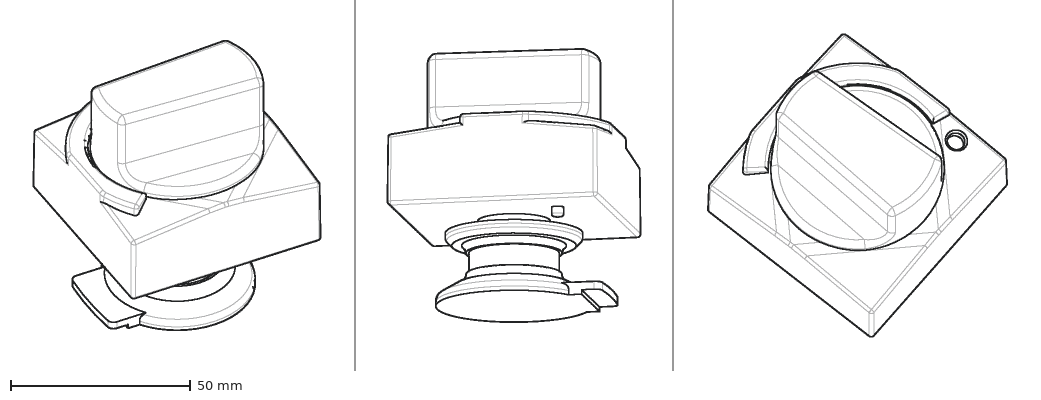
import cadquery as cq
import math

TOP_Z = 71.05
DISC_TOP_Z = 50.7
GUARD_TOP_Z = 49.4
HOUSING_TOP_Z = 47.6
HOUSING_BOTTOM_Z = 24.3
SPOOL_TOP_Z = 20.75
KNOB_RECESS_DEPTH = 0.7
KNOB_BASE_Z = HOUSING_TOP_Z - KNOB_RECESS_DEPTH

KNOB_RADIUS = 24.2
KNOB_ROUNDING = 2.0
GRIP_HALF_WIDTH = 10.2
GRIP_TAPER = 3.0
GRIP_COVE_RADIUS = 4.8
SHAFT_RADIUS = 10.15

BASE_RADIUS = 21.9
BASE_RIM_Z = 1.3
BASE_BULGE = (21.7, 2.4)
CONE_FOOT = (20.9, 3.2)
CONE_HEAD = (16.3, 6.0)
LOWER_COVE = (14.15, 7.25)
LOWER_LIP_RADIUS = 13.4
GROOVE_RADIUS = 12.65
GROOVE_BOTTOM_Z = 9.1
GROOVE_TOP_Z = 15.15
UPPER_LIP_RADIUS = 13.5
UPPER_COVE = (13.85, 16.35)
UPPER_COVE_END_RADIUS = 14.65
FLANGE_UNDERSIDE_Z = 17.3
FLANGE_UNDERSIDE_RADIUS = 17.4
FLANGE_BEVEL_END = (18.9, 18.75)
FLANGE_BULGE = (19.2, 19.2)
FLANGE_RADIUS = 19.25
FLANGE_RIM_Z = 19.75

TAB_HALF_WIDTH = 12.15
TAB_REACH = 27.9
TAB_SIDE_REACH = 27.2
TAB_TOP_Z = 3.55
TAB_UNDERSIDE_Z = 1.3
TAB_CORNER_RADIUS = 2.0

HOUSING_SIDE = 60.0
DRAFT = 0.6
EDGE_ROUNDING = 1.0
CORNER_SLOPE = 9.7
ROOF_BEND_START = 20.75
ROOF_BEND_RADIUS = 21.3
WINDOW_CENTER = (-24.4, 15.7)
WINDOW_RADIUS = 2.5
WINDOW_RIM_RADIUS = 3.1
WINDOW_DEPTH = 2.85
CUT_OVERSHOOT = 0.7
PIN_OFFSET = 15.85
PIN_RADIUS = 1.7
PIN_LENGTH = 2.55
PIN_ROUNDING = 0.7

GUARD_INNER_RADIUS = 24.95
GUARD_OUTER_RADIUS = 32.1
GUARD_OUTER_SHIFT = 0.7
GUARD_START = 162.0
GUARD_END = 312.0
GUARD_ROOT_DEPTH = 5.7
GUARD_BLEND_RADIUS = 5.0
GUARD_ROUNDING = 1.0

LEVEL_TOLERANCE = 0.1
SIDE_MARGIN = 0.7
UPRIGHT_LENGTH = 0.7


def is_upright(edge):
    return edge.BoundingBox().zlen > UPRIGHT_LENGTH


def disc(radius, bottom, top):
    return cq.Workplane("XY").workplane(offset=bottom).circle(radius).extrude(top - bottom)


def side_pocket(side):
    """Material removed beside the grip; side is -1 for -X and +1 for +X."""
    reach = 2 * KNOB_RADIUS
    cove_top = DISC_TOP_Z + GRIP_COVE_RADIUS
    cove_offset = GRIP_COVE_RADIUS * (1 - math.sqrt(0.5))
    wall = GRIP_HALF_WIDTH
    profile = (
        cq.Workplane("XZ")
        .moveTo(side * wall, TOP_Z + CUT_OVERSHOOT)
        .lineTo(side * wall, cove_top)
        .threePointArc(
            (side * (wall + cove_offset), DISC_TOP_Z + cove_offset),
            (side * (wall + GRIP_COVE_RADIUS), DISC_TOP_Z),
        )
        .lineTo(side * reach, DISC_TOP_Z)
        .lineTo(side * reach, TOP_Z + CUT_OVERSHOOT)
        .close()
    )
    pocket = profile.extrude(reach, both=True)
    pivot = (side * wall, 0, 0)
    return pocket.rotate(pivot, (side * wall, 0, 1), -side * GRIP_TAPER)


def is_knob_corner(edge):
    """True for sharp edges: the top outline and all edges on the round outside of the knob."""
    if edge.Center().z < DISC_TOP_Z - LEVEL_TOLERANCE:
        return False
    on_top = edge.BoundingBox().zmin > TOP_Z - LEVEL_TOLERANCE
    return on_top or is_upright(edge) or edge.geomType() != "LINE"


def make_knob_head():
    head = disc(KNOB_RADIUS, KNOB_BASE_Z, TOP_Z)
    for side in (-1, 1):
        head = head.cut(side_pocket(side))
    corners = [edge for edge in head.edges().vals() if is_knob_corner(edge)]
    return head.newObject(corners).fillet(KNOB_ROUNDING)


def make_spool():
    return (
        cq.Workplane("XZ")
        .moveTo(0, 0)
        .lineTo(BASE_RADIUS, 0)
        .lineTo(BASE_RADIUS, BASE_RIM_Z)
        .threePointArc(BASE_BULGE, CONE_FOOT)
        .lineTo(*CONE_HEAD)
        .threePointArc(LOWER_COVE, (LOWER_LIP_RADIUS, GROOVE_BOTTOM_Z))
        .lineTo(GROOVE_RADIUS, GROOVE_BOTTOM_Z)
        .lineTo(GROOVE_RADIUS, GROOVE_TOP_Z)
        .lineTo(UPPER_LIP_RADIUS, GROOVE_TOP_Z)
        .threePointArc(UPPER_COVE, (UPPER_COVE_END_RADIUS, FLANGE_UNDERSIDE_Z))
        .lineTo(FLANGE_UNDERSIDE_RADIUS, FLANGE_UNDERSIDE_Z)
        .lineTo(*FLANGE_BEVEL_END)
        .threePointArc(FLANGE_BULGE, (FLANGE_RADIUS, FLANGE_RIM_Z))
        .lineTo(FLANGE_RADIUS, SPOOL_TOP_Z)
        .lineTo(0, SPOOL_TOP_Z)
        .close()
        .revolve(360, (0, 0), (0, 1))
    )


def make_tab():
    plate = (
        cq.Workplane("XY")
        .moveTo(-TAB_HALF_WIDTH, 0)
        .lineTo(-TAB_HALF_WIDTH, -TAB_SIDE_REACH)
        .threePointArc((0, -TAB_REACH), (TAB_HALF_WIDTH, -TAB_SIDE_REACH))
        .lineTo(TAB_HALF_WIDTH, 0)
        .close()
        .extrude(TAB_TOP_Z)
    )
    plate = plate.edges("|Z").edges("<Y").fillet(TAB_CORNER_RADIUS)
    step = cq.Workplane("XY").box(
        2 * TAB_HALF_WIDTH, TAB_REACH, TAB_UNDERSIDE_Z, centered=(True, False, False)
    )
    return plate.cut(step.translate((0, -BASE_RADIUS - TAB_REACH, 0)))


def make_knob():
    """Turning body: grip, shaft through the housing, and spool with its tab."""
    shaft = disc(SHAFT_RADIUS, SPOOL_TOP_Z, KNOB_BASE_Z)
    return make_knob_head().union(shaft).union(make_spool()).union(make_tab())


def drafted_block(top):
    return (
        cq.Workplane("XY")
        .workplane(offset=HOUSING_BOTTOM_Z)
        .rect(HOUSING_SIDE, HOUSING_SIDE)
        .extrude(top - HOUSING_BOTTOM_Z, taper=DRAFT)
    )


def roof_corner_cut(angle):
    """Material above the roof plane that falls toward one corner; angle is that corner's direction."""
    slope = math.radians(CORNER_SLOPE)
    reach = HOUSING_SIDE
    bend_middle = (
        ROOF_BEND_START + ROOF_BEND_RADIUS * math.sin(slope / 2),
        HOUSING_TOP_Z - ROOF_BEND_RADIUS * (1 - math.cos(slope / 2)),
    )
    bend_end = (
        ROOF_BEND_START + ROOF_BEND_RADIUS * math.sin(slope),
        HOUSING_TOP_Z - ROOF_BEND_RADIUS * (1 - math.cos(slope)),
    )
    fall = (reach - bend_end[0]) * math.tan(slope)
    return (
        cq.Workplane("XZ")
        .moveTo(ROOF_BEND_START, HOUSING_TOP_Z)
        .threePointArc(bend_middle, bend_end)
        .lineTo(reach, bend_end[1] - fall)
        .lineTo(reach, HOUSING_TOP_Z)
        .close()
        .extrude(HOUSING_SIDE, both=True)
        .rotate((0, 0, 0), (0, 0, 1), angle)
    )


def make_shell():
    shell = drafted_block(HOUSING_TOP_Z)
    for angle in (45, 135, 225, 315):
        shell = shell.cut(roof_corner_cut(angle))
    outer_limit = HOUSING_SIDE / 2 - SIDE_MARGIN
    outer = [
        edge for edge in shell.edges().vals()
        if max(abs(edge.Center().x), abs(edge.Center().y)) > outer_limit
    ]
    return shell.newObject(outer).fillet(EDGE_ROUNDING)


def is_side_blend(edge):
    """True for the guard's upright edges where its outer arc meets a housing side."""
    center = edge.Center()
    near_side = min(center.x, center.y) < SIDE_MARGIN - HOUSING_SIDE / 2
    return near_side and center.y < 0


def make_guard():
    bottom = HOUSING_TOP_Z - GUARD_ROOT_DEPTH
    shift = GUARD_OUTER_SHIFT
    ring = disc(GUARD_OUTER_RADIUS, bottom, GUARD_TOP_Z).translate((shift, shift, 0))
    ring = ring.cut(disc(GUARD_INNER_RADIUS, bottom, GUARD_TOP_Z))
    reach = 2 * HOUSING_SIDE
    middle = (GUARD_START + GUARD_END) / 2
    rays = [
        (reach * math.cos(math.radians(angle)), reach * math.sin(math.radians(angle)))
        for angle in (GUARD_START, middle, GUARD_END)
    ]
    sector = (
        cq.Workplane("XY").workplane(offset=bottom)
        .polyline([(0, 0)] + rays).close().extrude(GUARD_TOP_Z - bottom)
    )
    guard = ring.intersect(sector).intersect(drafted_block(GUARD_TOP_Z))
    middle_radius = (GUARD_INNER_RADIUS + GUARD_OUTER_RADIUS) / 2
    upright = [edge for edge in guard.edges().vals() if is_upright(edge)]
    outer = [
        edge for edge in upright
        if math.hypot(edge.Center().x, edge.Center().y) > middle_radius
    ]
    blends = [edge for edge in outer if is_side_blend(edge)]
    tips = [edge for edge in outer if not is_side_blend(edge)]
    guard = guard.newObject(blends).fillet(GUARD_BLEND_RADIUS)
    guard = guard.newObject(tips).fillet(GUARD_ROUNDING)
    return guard.faces(">Z").edges().fillet(GUARD_ROUNDING)


def make_window():
    """Blind round window with a chamfered mouth, square to the sloping roof."""
    distance = (abs(WINDOW_CENTER[0]) + abs(WINDOW_CENTER[1])) / math.sqrt(2)
    slope = math.radians(CORNER_SLOPE)
    slope_start = ROOF_BEND_START + ROOF_BEND_RADIUS * math.tan(slope / 2)
    roof_z = HOUSING_TOP_Z - (distance - slope_start) * math.tan(slope)
    outward = math.sin(slope) / math.sqrt(2)
    top = cq.Vector(*WINDOW_CENTER, roof_z)
    inward = cq.Vector(outward, -outward, -math.cos(slope))
    mouth_radius = WINDOW_RIM_RADIUS + CUT_OVERSHOOT
    mouth_depth = mouth_radius - WINDOW_RADIUS
    mouth_top = top - inward * CUT_OVERSHOOT
    mouth = cq.Solid.makeCone(mouth_radius, WINDOW_RADIUS, mouth_depth, mouth_top, inward)
    bore = cq.Solid.makeCylinder(WINDOW_RADIUS, WINDOW_DEPTH, top, inward)
    return cq.Workplane(bore.fuse(mouth))


def make_pin():
    pin = disc(PIN_RADIUS, HOUSING_BOTTOM_Z - PIN_LENGTH, HOUSING_BOTTOM_Z)
    return pin.faces("<Z").edges().fillet(PIN_ROUNDING).translate((-PIN_OFFSET, -PIN_OFFSET, 0))


def make_housing():
    """Square body with sloping roof corners, guard and pin, bored for the knob and its shaft."""
    knob_recess = disc(KNOB_RADIUS, KNOB_BASE_Z, TOP_Z)
    shaft_bore = disc(SHAFT_RADIUS, HOUSING_BOTTOM_Z, KNOB_BASE_Z)
    shell = make_shell().union(make_guard()).union(make_pin())
    return shell.cut(knob_recess).cut(shaft_bore).cut(make_window())


knob = make_knob()
housing = make_housing()
result = cq.Compound.makeCompound([knob.val(), housing.val()])